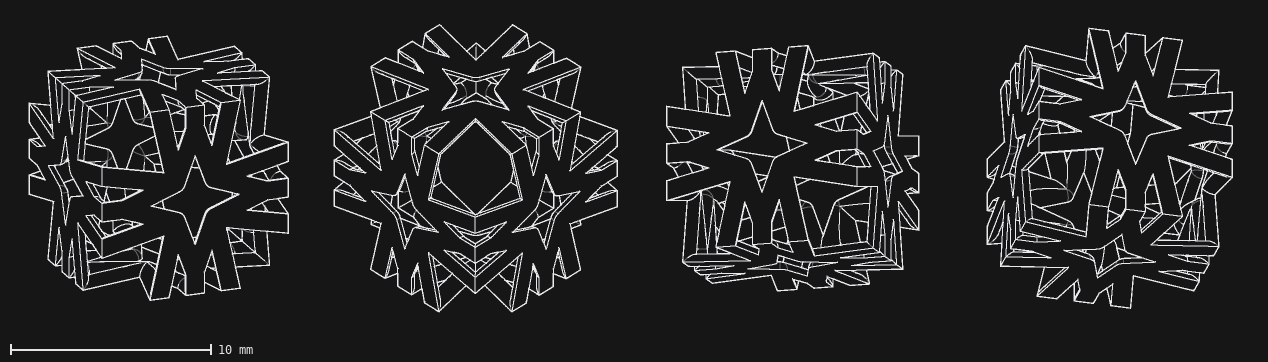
import cadquery as cq

cube_size = 10.0
strut_radius = 0.5
inner_node = 1.02
fork_distance = 3.81
arm_end = 1.91

half_size = cube_size / 2
arm_overrun = 2 * strut_radius
mitre_depth = 2 * strut_radius


def round_strut(start, end):
    """Round bar between two points."""
    axis = cq.Vector(*end) - cq.Vector(*start)
    return cq.Workplane(cq.Solid.makeCylinder(strut_radius, axis.Length, cq.Vector(*start), axis))


def quarter_web():
    """Struts of the +X +Y quarter of the top face, with the straight arm along +Y."""
    reach = half_size + arm_overrun
    arm_slope = (arm_end - inner_node) / (half_size - inner_node)
    arm_shift = arm_end + arm_slope * arm_overrun

    node = (inner_node, inner_node, half_size)
    fork_x = (fork_distance, 0, half_size)
    fork_y = (0, fork_distance, half_size)
    arm_tip_x = (reach, arm_shift, half_size)
    arm_tip_y = (arm_shift, reach, half_size)
    straight_tip = (0, reach, half_size)

    web = cq.Workplane("XY").sphere(strut_radius).translate(node)
    for end in (fork_y, fork_x, arm_tip_y, arm_tip_x):
        web = web.union(round_strut(node, end))
    return web.union(round_strut(fork_y, straight_tip))


def mitre_block():
    """Layer under the top face whose sides slope inward at 45 degrees from the cube edges."""
    bottom_size = cube_size - 2 * mitre_depth
    return (
        cq.Workplane("XY", origin=(0, 0, half_size - mitre_depth))
        .rect(bottom_size, bottom_size)
        .workplane(offset=mitre_depth)
        .rect(cube_size, cube_size)
        .loft(ruled=True)
    )


def face_web():
    """Complete strut pattern of the top face, mitred along the cube edges."""
    quarter = quarter_web()
    web = quarter
    for turn in (90, 180, 270):
        web = web.union(quarter.rotate((0, 0, 0), (0, 0, 1), turn))
    return web.intersect(mitre_block())


top_web = face_web()
result = top_web
for turn_about_x in (90, 180, 270):
    result = result.union(top_web.rotate((0, 0, 0), (1, 0, 0), turn_about_x))
for turn_about_y in (90, -90):
    result = result.union(top_web.rotate((0, 0, 0), (0, 1, 0), turn_about_y))